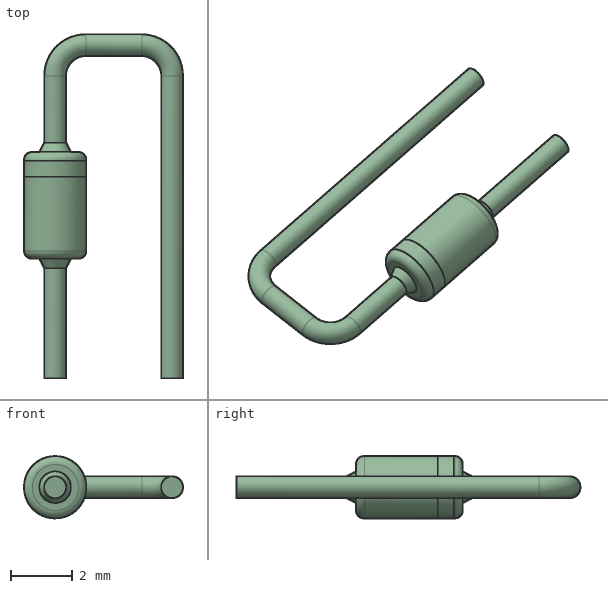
import cadquery as cq


body_radius = 1.02
body_start = 3.89
body_end = 7.38
body_edge_radius = 0.27

band_start = 6.56
band_end = 7.08
band_thickness = 0.05
band_inner_radius = body_radius - band_thickness

lead_radius = 0.36
collar_radius = 0.52
collar_length = 0.3
overall_length = 11.21
lead_spacing = 3.81
bend_radius = 1.0
bend_top = overall_length - lead_radius
bend_start = bend_top - bend_radius


def cylinder_along_y(radius, start, end):
    """Solid cylinder on the Y axis between two Y positions."""
    return cq.Workplane("XZ", origin=(0, start, 0)).circle(radius).extrude(start - end)


def make_band():
    """Thin ring around the body."""
    outer = cylinder_along_y(body_radius, band_start, band_end)
    return outer.cut(cylinder_along_y(band_inner_radius, band_start, band_end))


def make_body(band):
    """Cylinder with rounded ends and a groove that holds the band."""
    blank = cylinder_along_y(body_radius, body_start, body_end)
    return blank.faces("<Y or >Y").edges().fillet(body_edge_radius).cut(band)


def make_collar(body_face, lead_side):
    """Cone that narrows from the body face at the given Y to the lead at lead_side."""
    return (
        cq.Workplane("XY")
        .moveTo(0, body_face)
        .lineTo(collar_radius, body_face)
        .lineTo(lead_radius, lead_side)
        .lineTo(0, lead_side)
        .close()
        .revolve(360, (0, 0, 0), (0, 1, 0))
    )


def make_straight_lead():
    """Straight lead with its collar against the start face of the body."""
    wire = cylinder_along_y(lead_radius, 0, body_start)
    return wire.union(make_collar(body_start, body_start - collar_length))


def make_bent_lead():
    """Lead that leaves the end face of the body and turns back to Y = 0 in two bends."""
    path = (
        cq.Workplane("XY")
        .moveTo(0, body_end)
        .lineTo(0, bend_start)
        .radiusArc((bend_radius, bend_top), bend_radius)
        .lineTo(lead_spacing - bend_radius, bend_top)
        .radiusArc((lead_spacing, bend_start), bend_radius)
        .lineTo(lead_spacing, 0)
    )
    wire = cq.Workplane("XZ", origin=(0, body_end, 0)).circle(lead_radius).sweep(path)
    return wire.union(make_collar(body_end, body_end + collar_length))


band = make_band()
body = make_body(band)
straight_lead = make_straight_lead()
bent_lead = make_bent_lead()

bodies = [body, band, straight_lead, bent_lead]
result = cq.Compound.makeCompound([part.solids().val() for part in bodies])